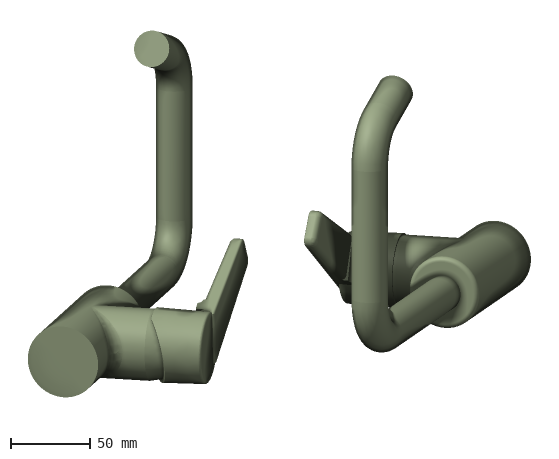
import cadquery as cq
import math

body_radius = 23.18
body_height = 100.2
body_top_round = 3.0

spout_radius = 11.5
bend_radius = 29.3
total_length = 250.5
spout_rise = 85.0
outlet_length = 31.3
outlet_angle = 20.0

neck_height = 50.0
neck_tilt = 5.0
neck_radius = 22.8
neck_length = 42.4
neck_blend = 7.5
collar_end_radius = 20.0
collar_length = 15.0

lever_turn = 23.0
cap_rim_radius = 23.8
cap_end_radius = 22.8
cap_start = 44.4
cap_notch_from = 3.0
cap_notch_depth = 10.8
cap_end = 80.0
cap_end_slant = 1.5
cap_edge_round = 1.5

lever_outer_x = 80.2
lever_root_thickness = 11.0
lever_tip_thickness = 8.0
lever_tip_y = 140.3
lever_corner_round = 4.8
lever_inner_edge_round = 3.5
lever_outer_edge_round = 1.3
lever_outline = [(62.6, 20.8), (126.5, 54.1), (138.8, 34.3), (67.7, -13.0)]
lever_root_blend = 3.3
lever_root_overlap = 6.3
cap_surface_radius = 23.0
root_flare_axial = 71.7
root_flare_end = 79.0

tilt = math.radians(neck_tilt)
turn = math.radians(lever_turn)
neck_axis = cq.Vector(math.cos(tilt), math.sin(tilt), 0)
neck_side = cq.Vector(-math.sin(tilt), math.cos(tilt), 0)
lever_side = neck_side * math.cos(turn) + cq.Vector(0, 0, math.sin(turn))
neck_origin = cq.Vector(0, neck_height, 0)
side_plane = cq.Plane(neck_origin, lever_side, lever_side.cross(neck_axis))


def branch_cone(start, length, start_radius, end_radius):
    """Round solid around the neck axis, given by its axial start and length."""
    base = neck_origin + neck_axis * start
    return cq.Workplane(obj=cq.Solid.makeCone(start_radius, end_radius, length, base, neck_axis))


def make_body_with_neck():
    body = cq.Workplane("XZ").circle(body_radius).extrude(-body_height)
    neck = cq.Workplane(obj=cq.Solid.makeCylinder(neck_radius, neck_length, neck_origin, neck_axis))
    joined = body.union(neck)
    seam_box = cq.selectors.BoxSelector(
        (-2.5, neck_height - 2 * neck_radius, -body_radius - 2.5),
        (body_radius + 2.5, neck_height + 2 * neck_radius, body_radius + 2.5),
    )
    joined = joined.edges(seam_box).edges("not %CIRCLE").edges("not %LINE").fillet(neck_blend)
    return joined.faces(">Y").edges().fillet(body_top_round)


def make_spout():
    riser_y = total_length - spout_radius
    first_bend_y = riser_y - bend_radius
    second_bend_z = bend_radius + spout_rise
    sweep_angle = math.radians(90 - outlet_angle)
    outlet = math.radians(outlet_angle)

    def on_second_bend(angle):
        return (first_bend_y + bend_radius * math.cos(angle), second_bend_z + bend_radius * math.sin(angle))

    bend_end = on_second_bend(sweep_angle)
    tip = (bend_end[0] - outlet_length * math.cos(outlet), bend_end[1] + outlet_length * math.sin(outlet))
    start_y = body_height / 2
    path = (
        cq.Workplane("YZ")
        .moveTo(start_y, 0)
        .lineTo(first_bend_y, 0)
        .tangentArcPoint((riser_y, bend_radius), relative=False)
        .lineTo(riser_y, second_bend_z)
        .threePointArc(on_second_bend(sweep_angle / 2), bend_end)
        .lineTo(*tip)
    )
    return cq.Workplane("XZ", origin=(0, start_y, 0)).circle(spout_radius).sweep(path)


def make_cap():
    cone = branch_cone(cap_start, cap_end - cap_start, cap_rim_radius, cap_end_radius)
    reach = cap_rim_radius
    outline = (
        cq.Workplane(side_plane)
        .polyline([
            (reach, cap_start),
            (-cap_notch_from, cap_start),
            (-reach, cap_start + cap_notch_depth),
            (-reach, cap_end - cap_end_slant),
            (reach, cap_end),
        ])
        .close()
        .extrude(reach, both=True)
    )
    cap = cone.intersect(outline)
    return cap.faces(">X").edges().fillet(cap_edge_round)


def lever_prism(thickness):
    """Lever outline extruded inward from the outer lever face."""
    outer_plane = cq.Workplane("YZ", origin=(lever_outer_x, 0, 0))
    return outer_plane.polyline(lever_outline).close().extrude(-thickness)


def make_lever():
    blade = lever_prism(lever_root_thickness)
    blade = blade.edges("|X").edges(">Y or >Z").fillet(lever_corner_round)
    profile = (
        cq.Workplane("XY")
        .polyline([
            (lever_outer_x, neck_height),
            (lever_outer_x - lever_root_thickness, neck_height),
            (lever_outer_x - lever_tip_thickness, lever_tip_y),
            (lever_outer_x, lever_tip_y),
        ])
        .close()
        .extrude(body_height, both=True)
    )
    blade = blade.intersect(profile)
    blade = blade.faces("<X").edges().fillet(lever_inner_edge_round)
    return blade.faces(">X").edges().fillet(lever_outer_edge_round)


def make_lever_root():
    """Concave flare that runs the inner lever face into the side of the cap."""
    inner = cap_rim_radius - lever_root_overlap
    flare_start = root_flare_axial - lever_root_blend
    middle = lever_root_blend * (1 - math.sqrt(0.5))
    arc_foot = (cap_surface_radius, flare_start)
    arc_middle = (cap_surface_radius + middle, root_flare_axial - middle)
    arc_top = (cap_surface_radius + lever_root_blend, root_flare_axial)
    flare = (
        cq.Workplane(side_plane)
        .moveTo(inner, flare_start)
        .lineTo(*arc_foot)
        .threePointArc(arc_middle, arc_top)
        .lineTo(arc_top[0], root_flare_end)
        .lineTo(inner, root_flare_end)
        .close()
        .extrude(cap_rim_radius, both=True)
    )
    return flare.intersect(lever_prism(lever_root_thickness + 2 * lever_root_blend))


collar = branch_cone(neck_length, collar_length, neck_radius, collar_end_radius)
handle = make_cap().union(make_lever()).union(make_lever_root())
result = make_body_with_neck().union(make_spout()).union(collar).union(handle)